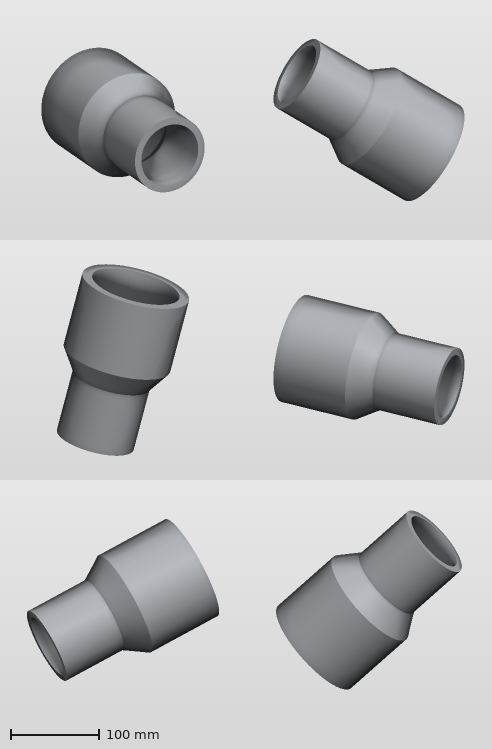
import cadquery as cq

total_length = 190.0
wide_length = 88.0
narrow_length = 75.0
wide_diameter = 125.0
narrow_diameter = 90.0
wide_bore = 102.2
narrow_bore = 73.5

taper_start = wide_length
taper_end = total_length - narrow_length


def stepped_body(start_diameter, end_diameter):
    """Solid of revolution: a cylinder, a cone and a smaller cylinder along X."""
    start_radius = start_diameter / 2
    end_radius = end_diameter / 2
    return (
        cq.Workplane("XY")
        .moveTo(0, 0)
        .lineTo(0, start_radius)
        .lineTo(taper_start, start_radius)
        .lineTo(taper_end, end_radius)
        .lineTo(total_length, end_radius)
        .lineTo(total_length, 0)
        .close()
        .revolve(360, (0, 0, 0), (1, 0, 0))
    )


outer_body = stepped_body(wide_diameter, narrow_diameter)
bore = stepped_body(wide_bore, narrow_bore)
result = outer_body.cut(bore)